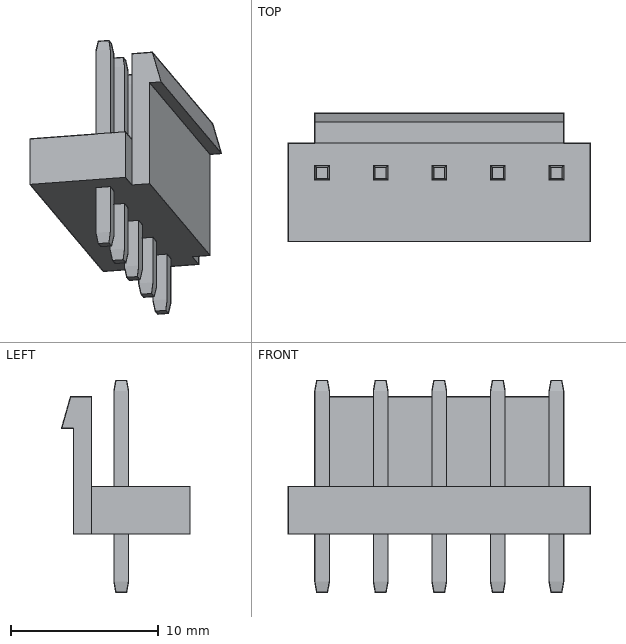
import cadquery as cq

pin_count = 5
pin_pitch = 3.96
pin_width = 1.0
pin_length = 14.33
pin_tail = 3.93
tip_length = 0.72
tip_width = 0.74

base_length = 20.44
base_height = 3.23
base_depth = 6.65
base_back = 2.0

wall_length = (pin_count - 1) * pin_pitch + pin_width
wall_height = 9.3
wall_thickness = 1.24
hook_bottom = 7.15
overall_depth = 8.69
hook_reach = overall_depth - base_depth
wall_top_thickness = 1.43


def make_base():
    return (
        cq.Workplane("XY")
        .center(0, base_back - base_depth / 2)
        .rect(base_length, base_depth)
        .extrude(base_height)
    )


def make_latch_wall():
    """Upright wall whose rear carries a ramped hook along its full length."""
    profile = [
        (base_back, 0),
        (base_back + wall_thickness, 0),
        (base_back + wall_thickness, hook_bottom),
        (base_back + hook_reach, hook_bottom),
        (base_back + wall_top_thickness, wall_height),
        (base_back, wall_height),
    ]
    return cq.Workplane("YZ").polyline(profile).close().extrude(wall_length / 2, both=True)


def make_tip():
    """Pyramid frustum that narrows upwards from Z = 0."""
    return (
        cq.Workplane("XY")
        .rect(pin_width, pin_width)
        .workplane(offset=tip_length)
        .rect(tip_width, tip_width)
        .loft(ruled=True)
    )


def make_pin():
    """Square pin, tapered at both ends, standing on the Z axis."""
    shank_length = pin_length - 2 * tip_length
    shank_bottom = tip_length - pin_tail
    shank = (
        cq.Workplane("XY")
        .workplane(offset=shank_bottom)
        .rect(pin_width, pin_width)
        .extrude(shank_length)
    )
    top_tip = make_tip().translate((0, 0, shank_bottom + shank_length))
    bottom_tip = make_tip().mirror("XY").translate((0, 0, shank_bottom))
    return shank.union(top_tip).union(bottom_tip)


result = make_base().union(make_latch_wall())
pin = make_pin()
for index in range(pin_count):
    pin_x = (index - (pin_count - 1) / 2) * pin_pitch
    result = result.union(pin.translate((pin_x, 0, 0)))